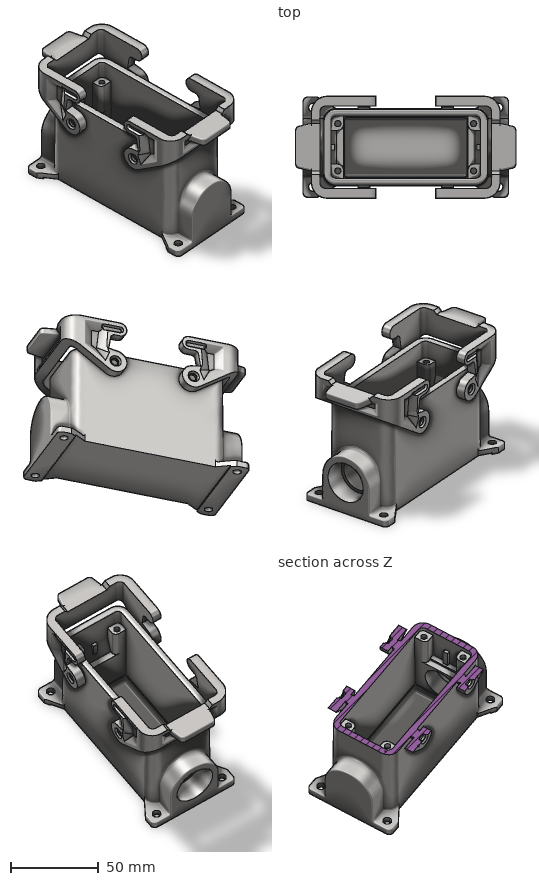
import cadquery as cq
import math

TOTAL_LENGTH = 125.5
TOTAL_WIDTH = 58.1
TOTAL_HEIGHT = 79.2

OVERLAP = 1.3

RIM_LENGTH = 93.0
RIM_WIDTH = 43.2
CORNER_RADIUS = 6.9
BASE_Z = 0.9
RIM_BAND_Z = 57.4
SHELL_TOP_Z = 62.5
RIM_CROWN = 0.5
SHELL_DRAFT = 0.5
RIM_WALL = 3.9

CAVITY_LENGTH = RIM_LENGTH - 2 * RIM_WALL
CAVITY_WIDTH = RIM_WIDTH - 2 * RIM_WALL
CAVITY_CORNER = 3.0
WELL_LENGTH = 69.8
WELL_WIDTH = 33.6
WELL_CORNER = 1.0
FLOOR_FILLET = 1.9
FLOOR_Z = 3.8
CAVITY_BAND_Z = 57.7
CAVITY_DRAFT = 0.3
WELL_TOP_Z = 8.8
SHELF_Z = 32.0
LEDGE_WIDTH = 3.3
LEDGE_HEIGHT = 1.3
RAMP_HEIGHT = 10.0
KEY_WIDTH = 3.0
KEY_DEPTH = 2.0
KEY_TOP_Z = 43.9
POST_INNER_X = 35.5
POST_INNER_Y = 9.7
POST_CORNER = 3.0
POST_TOP_Z = 51.1
SCREW_X = 38.7
SCREW_Y = 13.4
SCREW_RADIUS = 1.8
SCREW_DEPTH = 15.0

ENTRY_END_X = 58.5
ENTRY_Z = 20.2
ENTRY_RADIUS = 16.5
END_EDGE = 0.8
BORE_RADIUS = 12.3
BORE_DEPTH = 12.8
BORE_LIP_RADIUS = 10.4
FOOT_HALF_WIDTH = 28.6
FOOT_FLAT_X = 50.5
FOOT_INNER_X = 39.0
FOOT_INNER_Y = 21.6
FOOT_CORNER = 2.9
FOOT_THICKNESS = 4.0
FOOT_PAD_X = 47.3
ROOT_FILLET = 1.3
FOOT_HOLE_X = 52.8
FOOT_HOLE_Y = 22.6
FOOT_HOLE_RADIUS = 2.4

LEVER_END_X = 53.7
LEVER_TIP_X = 17.0
LEVER_ARM = 5.6
LEVER_END_WALL = 4.9
LEVER_CORNER = 9.2
LEVER_INNER_CORNER = 3.1
LEVER_SLOPE = 34.2
PIVOT_RADIUS = 6.9
PIVOT_X = LEVER_TIP_X + PIVOT_RADIUS
PIVOT_Z = 53.5
HOOK_RADIUS = 4.3
HOOK_X = LEVER_TIP_X + HOOK_RADIUS
HOOK_Z = TOTAL_HEIGHT - HOOK_RADIUS
HOOK_ROOT_X = 24.3
HOOK_ROOT_MID = (-26.1, 69.9)
HOOK_ROOT_END = (-26.9, 68.0)
NECK_POINT = (-28.0, 61.1)

RECESS_DEPTH = 3.1
RECESS_CORNER = 1.5
SLOT_DEPTH = 1.5
SLOT_WIDTH = 3.8
SLOT_Z = 74.7
SLOT_END_X = 19.1
SLOT_ROOT_X = 32.6
SLOT_TAPER = 25
RECESS_RIM = [
    (-42.3, 76.7),
    (-28.2, 76.7),
    (-29.2, 62.6),
    (-27.6, 58.2),
    (-30.0, 52.6),
    (-42.3, 61.0),
]
RECESS_FLOOR = [
    (-37.4, 72.5),
    (-33.0, 72.5),
    (-34.1, 62.6),
    (-34.3, 61.7),
    (-34.6, 61.0),
    (-37.4, 62.6),
]
RECESS_EDGE = 0.5
END_RECESS_RIM = [(-19.1, 67.1), (19.1, 67.1), (19.1, 75.8), (-19.1, 75.8)]
END_RECESS_FLOOR = [(-15.4, 69.9), (15.4, 69.9), (15.4, 72.8), (-15.4, 72.8)]
END_RECESS_CORNER = 1.1
END_RECESS_DEPTH = 2.3
TAB_TOP_Z = 77.2
TAB_THICKNESS = 4.5
TAB_END_HALF_WIDTH = 11.5
TAB_ROOT_HALF_WIDTH = 14.5
TAB_CORNER = 2.8
TAB_EDGE = 1.0
NOTCH_HALF_WIDTH = 13.5
PIN_RADIUS = 3.4
PIN_HOLE_RADIUS = 2.1
PIN_CONE_END_RADIUS = 2.5
PIN_CONE_DEPTH = 1.1
PIN_HOLE_DEPTH = 2.5
PIN_CHAMFER = 0.6


def rounded_block(length, width, corner, bottom, top, taper=0.0):
    outline = cq.Sketch().rect(length, width).vertices().fillet(corner)
    base = cq.Workplane("XY").workplane(offset=bottom)
    return base.placeSketch(outline).extrude(top - bottom, taper=taper)


def box_between(x0, x1, y0, y1, z0, z1):
    return cq.Workplane("XY").box(x1 - x0, y1 - y0, z1 - z0, centered=False).translate((x0, y0, z0))


def both_ends(shape):
    return shape.union(shape.mirror("YZ"))


def four_corners(x, y):
    return [(sx * x, sy * y) for sx in (-1, 1) for sy in (-1, 1)]


def shell():
    height = RIM_BAND_Z - BASE_Z
    draft_angle = math.degrees(math.atan(SHELL_DRAFT / height))
    lower = rounded_block(
        RIM_LENGTH + 2 * SHELL_DRAFT, RIM_WIDTH + 2 * SHELL_DRAFT, CORNER_RADIUS + SHELL_DRAFT,
        BASE_Z, RIM_BAND_Z, draft_angle,
    )
    band = rounded_block(RIM_LENGTH, RIM_WIDTH, CORNER_RADIUS, RIM_BAND_Z, SHELL_TOP_Z - RIM_CROWN)
    return lower.union(band)


def crowned_rim():
    """Ring with an arched top that closes the shell wall."""
    edge_z = SHELL_TOP_Z - RIM_CROWN
    path = (
        cq.Workplane("XY")
        .workplane(offset=edge_z)
        .placeSketch(cq.Sketch().rect(RIM_LENGTH, RIM_WIDTH).vertices().fillet(CORNER_RADIUS))
        .extrude(OVERLAP)
        .faces("<Z")
        .wires()
    )
    outer_y = -RIM_WIDTH / 2
    section = (
        cq.Workplane("YZ")
        .moveTo(outer_y, edge_z)
        .threePointArc((outer_y + RIM_WALL / 2, SHELL_TOP_Z), (outer_y + RIM_WALL, edge_z))
        .lineTo(outer_y + RIM_WALL, edge_z - OVERLAP)
        .lineTo(outer_y, edge_z - OVERLAP)
        .close()
    )
    return section.sweep(path, transition="round")


def mounting_end():
    """Foot plate and solid cable entry at the -X end."""
    foot = (
        cq.Workplane("XY")
        .moveTo(-FOOT_INNER_X, FOOT_INNER_Y)
        .lineTo(-FOOT_FLAT_X, FOOT_HALF_WIDTH)
        .lineTo(-ENTRY_END_X, FOOT_HALF_WIDTH)
        .lineTo(-ENTRY_END_X, -FOOT_HALF_WIDTH)
        .lineTo(-FOOT_FLAT_X, -FOOT_HALF_WIDTH)
        .lineTo(-FOOT_INNER_X, -FOOT_INNER_Y)
        .close()
        .extrude(FOOT_THICKNESS)
        .edges("|Z and <X")
        .fillet(FOOT_CORNER)
    )
    entry = (
        cq.Workplane("YZ")
        .workplane(offset=-ENTRY_END_X)
        .moveTo(-ENTRY_RADIUS, 0)
        .lineTo(-ENTRY_RADIUS, ENTRY_Z)
        .threePointArc((0, ENTRY_Z + ENTRY_RADIUS), (ENTRY_RADIUS, ENTRY_Z))
        .lineTo(ENTRY_RADIUS, 0)
        .close()
        .extrude(ENTRY_END_X - FOOT_INNER_X)
    )
    end = foot.union(entry)
    for side in (-1, 1):
        root = (-(ENTRY_END_X + FOOT_INNER_X) / 2, side * ENTRY_RADIUS, FOOT_THICKNESS)
        end = end.edges(cq.NearestToPointSelector(root)).fillet(ROOT_FILLET)
    return end.faces("<X").edges("not <Z").fillet(END_EDGE)


def outer_body():
    """Shell with both mounting ends, the relief between the foot pads and the foot holes."""
    body = shell().union(both_ends(mounting_end()))
    pad_gap = box_between(-FOOT_PAD_X, FOOT_PAD_X, -TOTAL_WIDTH, TOTAL_WIDTH, -OVERLAP, BASE_Z)
    body = body.cut(pad_gap)
    for sx in (-1, 1):
        crown = cq.NearestToPointSelector((sx * (RIM_LENGTH / 2 + SHELL_DRAFT), 0, ENTRY_Z + ENTRY_RADIUS))
        body = body.edges(crown).fillet(ROOT_FILLET)
    holes = (
        cq.Workplane("XY").pushPoints(four_corners(FOOT_HOLE_X, FOOT_HOLE_Y)).circle(FOOT_HOLE_RADIUS)
        .extrude(FOOT_THICKNESS)
    )
    return body.cut(holes)


def interior():
    draft_angle = math.degrees(math.atan(CAVITY_DRAFT / (CAVITY_BAND_Z - WELL_TOP_Z)))
    mouth = rounded_block(CAVITY_LENGTH, CAVITY_WIDTH, CAVITY_CORNER, CAVITY_BAND_Z, SHELL_TOP_Z)
    chamber = rounded_block(
        CAVITY_LENGTH - 2 * CAVITY_DRAFT, CAVITY_WIDTH - 2 * CAVITY_DRAFT, CAVITY_CORNER - CAVITY_DRAFT,
        WELL_TOP_Z, CAVITY_BAND_Z, -draft_angle,
    )
    well = rounded_block(WELL_LENGTH, WELL_WIDTH, WELL_CORNER, FLOOR_Z, WELL_TOP_Z)
    well = well.faces("<Z").edges().fillet(FLOOR_FILLET)
    return mouth.union(chamber).cut(end_fillings()).union(well).union(screw_holes())


def end_fillings():
    """Material left in the chamber: end blocks, posts, keys, a ledge at -X and a ramp at +X."""
    wall_x = CAVITY_LENGTH / 2
    wall_y = CAVITY_WIDTH / 2
    block = box_between(-wall_x, -POST_INNER_X, -wall_y, wall_y, WELL_TOP_Z, SHELF_Z)
    ledge = box_between(-wall_x, LEDGE_WIDTH - wall_x, -SCREW_Y, SCREW_Y, SHELF_Z, SHELF_Z + LEDGE_HEIGHT)
    ramp = (
        cq.Workplane("XZ")
        .polyline([(wall_x, SHELF_Z + RAMP_HEIGHT), (wall_x, SHELF_Z), (wall_x - LEDGE_WIDTH, SHELF_Z)])
        .close()
        .extrude(SCREW_Y, both=True)
    )
    posts = (
        cq.Workplane("XY").workplane(offset=SHELF_Z)
        .pushPoints(four_corners((wall_x + POST_INNER_X) / 2, (wall_y + POST_INNER_Y) / 2))
        .rect(wall_x - POST_INNER_X, wall_y - POST_INNER_Y)
        .extrude(POST_TOP_Z - SHELF_Z)
    )
    for sx, sy in four_corners(1, 1):
        corner = (sx * POST_INNER_X, sy * POST_INNER_Y, (SHELF_Z + POST_TOP_Z) / 2)
        posts = posts.edges(cq.NearestToPointSelector(corner)).fillet(POST_CORNER)
    key = box_between(-wall_x, KEY_DEPTH - wall_x, -KEY_WIDTH / 2, KEY_WIDTH / 2, SHELF_Z, KEY_TOP_Z)
    return both_ends(block.union(key)).union(ledge).union(ramp).union(posts)


def screw_holes():
    return (
        cq.Workplane("XY").workplane(offset=POST_TOP_Z - SCREW_DEPTH)
        .pushPoints(four_corners(SCREW_X, SCREW_Y)).circle(SCREW_RADIUS).extrude(SCREW_DEPTH)
    )


def cable_bore():
    bore = cq.Workplane("YZ").workplane(offset=-ENTRY_END_X).center(0, ENTRY_Z)
    wide = bore.circle(BORE_RADIUS).extrude(BORE_DEPTH)
    return wide.union(bore.circle(BORE_LIP_RADIUS).extrude(ENTRY_END_X - WELL_LENGTH / 2 + OVERLAP))


def frustum(outer, inner, plane, depth):
    """Sloped solid between an outline on `plane` and a second one offset by -depth along its normal."""
    start = plane.polyline(outer).close()
    return start.workplane(offset=-depth).polyline(inner).close().loft(ruled=True)


def lever_profile():
    """Side outline of a lever, hook and pivot eye included."""
    slope = math.radians(LEVER_SLOPE)
    eye_x = -PIVOT_X - PIVOT_RADIUS * math.sin(slope)
    eye_z = PIVOT_Z - PIVOT_RADIUS * math.cos(slope)
    end_z = eye_z + (eye_x + LEVER_END_X) * math.tan(slope)
    return (
        cq.Workplane("XZ")
        .moveTo(-LEVER_END_X, TOTAL_HEIGHT)
        .lineTo(-HOOK_X, TOTAL_HEIGHT)
        .threePointArc((-LEVER_TIP_X, HOOK_Z), (-HOOK_X, HOOK_Z - HOOK_RADIUS))
        .lineTo(-HOOK_ROOT_X, HOOK_Z - HOOK_RADIUS)
        .threePointArc(HOOK_ROOT_MID, HOOK_ROOT_END)
        .lineTo(*NECK_POINT)
        .lineTo(-PIVOT_X, PIVOT_Z + PIVOT_RADIUS)
        .threePointArc((-LEVER_TIP_X, PIVOT_Z), (-PIVOT_X, PIVOT_Z - PIVOT_RADIUS))
        .threePointArc(
            (-PIVOT_X - PIVOT_RADIUS * math.sin(slope / 2), PIVOT_Z - PIVOT_RADIUS * math.cos(slope / 2)),
            (eye_x, eye_z),
        )
        .lineTo(-LEVER_END_X, end_z)
        .close()
        .extrude(TOTAL_WIDTH / 2, both=True)
    )


def lever_blank():
    plan = box_between(-LEVER_END_X, 0, -TOTAL_WIDTH / 2, TOTAL_WIDTH / 2, 0, TOTAL_HEIGHT)
    plan = plan.edges("|Z and <X").fillet(LEVER_CORNER)
    inner_x = -LEVER_END_X + LEVER_END_WALL
    inner_y = TOTAL_WIDTH / 2 - LEVER_ARM
    opening = box_between(inner_x, OVERLAP, -inner_y, inner_y, 0, TOTAL_HEIGHT)
    opening = opening.edges("|Z and <X").fillet(LEVER_INNER_CORNER)
    return lever_profile().intersect(plan.cut(opening))


def arm_recess():
    """Recess in the -Y face of a lever arm: a deep pocket and a shallow slot along the hook."""
    face = cq.Workplane("XZ", origin=(0, -TOTAL_WIDTH / 2, 0))
    pocket = frustum(RECESS_RIM, RECESS_FLOOR, face, RECESS_DEPTH)
    slot = (
        face.center(-(SLOT_ROOT_X + SLOT_END_X) / 2, SLOT_Z)
        .slot2D(SLOT_ROOT_X - SLOT_END_X, SLOT_WIDTH)
        .extrude(-SLOT_DEPTH, taper=SLOT_TAPER)
    )
    pocket = pocket.faces("<X").edges("not #Y").fillet(RECESS_CORNER)
    return pocket.union(slot)


def end_recess():
    """Sloped recess in the end wall, below the handle tab."""
    face = cq.Workplane("YZ", origin=(-LEVER_END_X, 0, 0))
    recess = frustum(END_RECESS_RIM, END_RECESS_FLOOR, face, -END_RECESS_DEPTH)
    return recess.edges("not #X").fillet(END_RECESS_CORNER)


def tab_notch():
    top_half_width = NOTCH_HALF_WIDTH + TOTAL_HEIGHT - TAB_TOP_Z
    return (
        cq.Workplane("YZ", origin=(-LEVER_END_X, 0, 0))
        .polyline([
            (-NOTCH_HALF_WIDTH, TAB_TOP_Z), (NOTCH_HALF_WIDTH, TAB_TOP_Z),
            (top_half_width, TOTAL_HEIGHT), (-top_half_width, TOTAL_HEIGHT),
        ])
        .close()
        .extrude(LEVER_END_WALL)
    )


def handle_tab():
    root_x = -LEVER_END_X + LEVER_END_WALL
    tab = (
        cq.Workplane("XY").workplane(offset=TAB_TOP_Z - TAB_THICKNESS)
        .polyline([
            (-TOTAL_LENGTH / 2, -TAB_END_HALF_WIDTH), (root_x, -TAB_ROOT_HALF_WIDTH),
            (root_x, TAB_ROOT_HALF_WIDTH), (-TOTAL_LENGTH / 2, TAB_END_HALF_WIDTH),
        ])
        .close()
        .extrude(TAB_THICKNESS)
        .edges("|Z and <X")
        .fillet(TAB_CORNER)
    )
    return tab.edges("(<Z or >Z) and (not >X)").fillet(TAB_EDGE)


def pivot_pin():
    """Pin collar between the shell and the -Y lever arm."""
    shell_y = -RIM_WIDTH / 2
    arm_y = -TOTAL_WIDTH / 2 + LEVER_ARM
    collar = cq.Workplane("XZ", origin=(-PIVOT_X, shell_y + OVERLAP, PIVOT_Z)).circle(PIN_RADIUS)
    return collar.extrude(shell_y + OVERLAP - arm_y).faces("<Y").edges().chamfer(PIN_CHAMFER)


def pivot_hole():
    """Countersunk blind hole in the -Y lever arm."""
    face = cq.Workplane("XZ", origin=(-PIVOT_X, -TOTAL_WIDTH / 2, PIVOT_Z))
    hole = face.circle(PIN_HOLE_RADIUS).extrude(-PIN_HOLE_DEPTH)
    cone = face.circle(PIN_RADIUS).workplane(offset=-PIN_CONE_DEPTH).circle(PIN_CONE_END_RADIUS).loft()
    return hole.union(cone)


def lever():
    blank = lever_blank()
    for cutter in (arm_recess(), pivot_hole()):
        blank = blank.cut(cutter).cut(cutter.mirror("XZ"))
    blank = blank.cut(end_recess()).cut(tab_notch())
    rim_x = RECESS_RIM[0][0]
    rim_points = [(-LEVER_END_X, 0, END_RECESS_RIM[0][1])]
    rim_points += [(rim_x, side * TOTAL_WIDTH / 2, SHELL_TOP_Z) for side in (-1, 1)]
    for point in rim_points:
        blank = blank.edges(cq.NearestToPointSelector(point)).fillet(RECESS_EDGE)
    pin = pivot_pin()
    return blank.union(handle_tab()).union(pin).union(pin.mirror("XZ"))


housing = outer_body().cut(interior()).union(crowned_rim()).cut(cable_bore())
result = housing.union(both_ends(lever()))